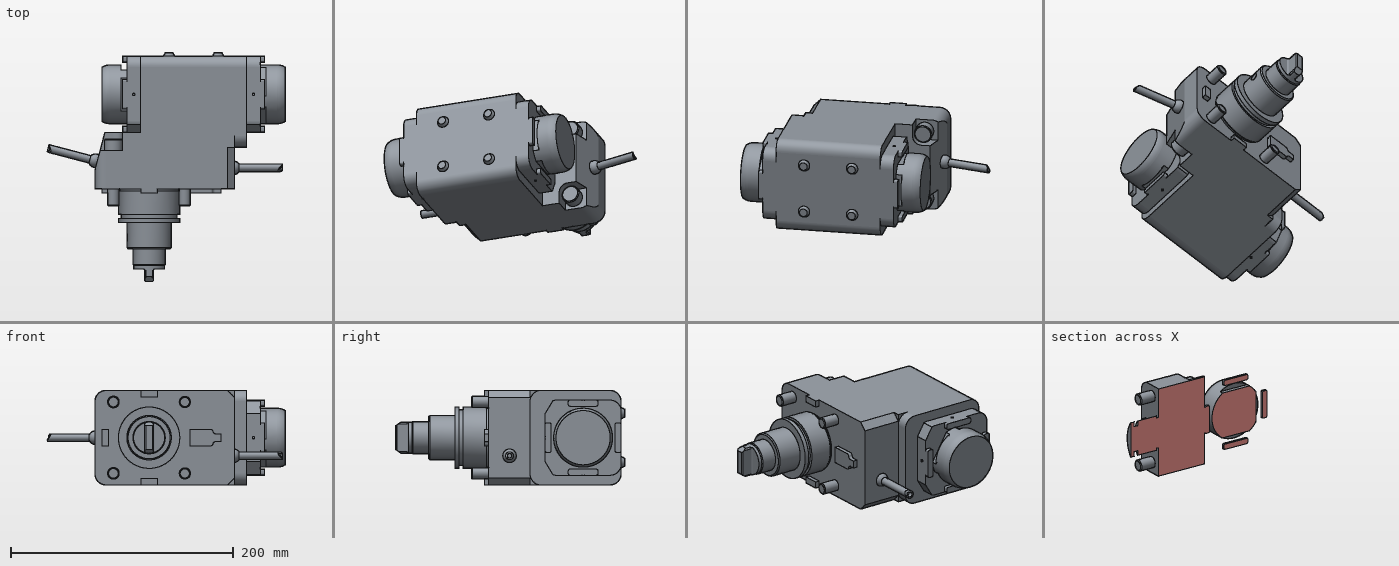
import cadquery as cq
import math


HALF_HEIGHT = 42.5
CORNER_RADIUS = 10.0
BASE_LEFT = -48.7
BASE_RIGHT = 76.6
BASE_CHAMFER = 6.5
BASE_BACK = 50.5
SLANT_START_Y = 16.6
SLANT_ANGLE = 14.7
BLOCK_LEFT = -7.7
BLOCK_RIGHT = 87.5
BLOCK_FRONT = 37.1
BLOCK_BACK = 118.9
BLOCK_MIDDLE = (BLOCK_LEFT + BLOCK_RIGHT) / 2

BOLT_OFFSET = 32.0
PIN_DIAMETER = 10.5
SMALL_PIN_DIAMETER = 10.0
PIN_LENGTH = 15.4
PIN_CHAMFER = 0.9
POCKET_FLOOR_Y = 34.5
POCKET_RADIUS = 8.3
HEAD_DIAMETER = 16.0
HEAD_HEIGHT = 10.2
HEAD_CHAMFER = 0.9

DRUM_AXIS_Y = (BASE_BACK + BLOCK_BACK) / 2
PLATE_THICKNESS = 12.2
PLATE_HALF_HEIGHT = 33.7
PLATE_BEVEL_Y = 7.0
PLATE_BEVEL_Z = 12.2
PLATE_ROUND_Y = 3.2
PLATE_ROUND_DROP = 0.6
PAD_HEIGHT = 3.8
PAD_LENGTH = 26.7
PAD_WIDTH = 5.5
PAD_CORNER_RADIUS = 1.7
MARK_HOLE_DIAMETER = 2.1
MARK_HOLE_DEPTH = 1.0
DRUM_DIAMETER = 53.0
DRUM_LENGTH = 22.5
DRUM_CROWN_LENGTH = 7.0
DRUM_CROWN_DROP = 2.1
FLAT_LENGTH = 5.3
FLAT_DISTANCE = 22.0
FLAT_ANGLES = (0, 180, 270)
RIGHT_DRUM_TURN = 149

HUB_DIAMETER = 53.0
COLLAR_DIAMETER = 55.0
GROOVE_DIAMETER = 50.2
BODY_DIAMETER = 40.0
NOSE_DIAMETER = 29.0
TIP_DIAMETER = 28.0
HUB_END = -2.0
COLLAR_END = -22.8
GROOVE_END = -26.5
RING_END = -30.3
BODY_END = -53.8
NOSE_END = -67.7
TIP_START = -68.7
TIP_END = -72.0
TANG_END = -83.2
BODY_CHAMFER = 1.0
TANG_WIDTH = 8.0
TANG_FILLET = 1.3
TANG_EDGE_CHAMFER = 1.0
TANG_SHOULDER_LENGTH = 4.7
TANG_SHOULDER_DROP = 3.2
SPINDLE_HOLE_DIAMETER = 7.0
SPINDLE_HOLE_Y = -43.8
SPINDLE_HOLE_DEPTH = 0.5

KEY_HEIGHT = 3.8
KEY_LENGTH = 15.0
KEY_WIDTH = 6.0
LEFT_KEY_X = -39.3
TONGUE_LEFT = 36.7
TONGUE_NECK_START = 54.9
TONGUE_NECK_END = 59.8
TONGUE_RIGHT = 64.5
TONGUE_NECK_HALF_WIDTH = 3.5

SCREW_BASE_DIAMETER = 10.5
SCREW_TOP_DIAMETER = 7.0
SCREW_HEIGHT = 3.2
SCREW_HALF_PITCH = 22.0
SCREW_Z = 22.0

CABLE_DIAMETER = 7.0
CABLE_BORE = 4.0
CABLE_BORE_DEPTH = 4.3
GLAND_DIAMETER = 12.4
LEFT_GLAND_OFFSET = -1.7
RIGHT_GLAND_OFFSET = -1.0
LEFT_CABLE_Y = 25.2
LEFT_CABLE_LENGTH = 44.0
LEFT_CABLE_BEVEL = (0, -0.5, 0.6)
RIGHT_CABLE_Y = 18.8
RIGHT_CABLE_Z = -16.2
RIGHT_CABLE_LENGTH = 44.0
RIGHT_CABLE_BEVEL = (0, -0.8, 0.8)


def box(x_range, y_range, z_range):
    """Box between two limits along each axis."""
    (x0, x1), (y0, y1), (z0, z1) = x_range, y_range, z_range
    return cq.Workplane("XY").box(x1 - x0, y1 - y0, z1 - z0, centered=False).translate((x0, y0, z0))


def rod(diameter, start, direction, length):
    """Cylinder from a start point along a direction."""
    cylinder = cq.Solid.makeCylinder(diameter / 2, length, cq.Vector(*start), cq.Vector(*direction))
    return cq.Workplane(cylinder)


def housing():
    """Base with a slanted left side, joined to the rear block."""
    height = (-HALF_HEIGHT, HALF_HEIGHT)
    slant_run = (BASE_BACK - SLANT_START_Y) * math.tan(math.radians(SLANT_ANGLE))
    base = box((BASE_LEFT, BASE_RIGHT), (0, BLOCK_FRONT), height)
    base = base.edges("|Y and >X").chamfer(BASE_CHAMFER)
    base = base.union(box((BASE_LEFT, BASE_RIGHT), (BLOCK_FRONT, BASE_BACK), height))
    base = base.edges("|Y and <X").fillet(CORNER_RADIUS)
    slant = cq.Workplane("XY").polyline([
        (BASE_LEFT, SLANT_START_Y),
        (BASE_LEFT + slant_run, BASE_BACK),
        (BASE_LEFT, BASE_BACK),
    ]).close().extrude(HALF_HEIGHT, both=True)
    block = box((BLOCK_LEFT, BLOCK_RIGHT), (BLOCK_FRONT, BLOCK_BACK), height)
    block = block.edges("|X").fillet(CORNER_RADIUS)
    return base.cut(slant).union(block)


def corner_pocket(side):
    """Pocket around a bolt head at the upper (+1) or lower (-1) left corner."""
    depth = (POCKET_FLOOR_Y, BASE_BACK)
    inner_x = -BOLT_OFFSET + POCKET_RADIUS
    outside = box((BASE_LEFT, -BOLT_OFFSET), depth, (BOLT_OFFSET - POCKET_RADIUS, HALF_HEIGHT))
    above = box((BASE_LEFT, inner_x), depth, (BOLT_OFFSET, HALF_HEIGHT))
    round_corner = rod(2 * POCKET_RADIUS, (-BOLT_OFFSET, POCKET_FLOOR_Y, BOLT_OFFSET), (0, 1, 0),
                       BASE_BACK - POCKET_FLOOR_Y)
    pocket = outside.union(above).union(round_corner)
    return pocket if side > 0 else pocket.mirror("XY")


def bolt_head(side):
    head = rod(HEAD_DIAMETER, (-BOLT_OFFSET, POCKET_FLOOR_Y, side * BOLT_OFFSET), (0, 1, 0), HEAD_HEIGHT)
    return head.faces(">Y").chamfer(HEAD_CHAMFER)


def front_pin(x, z, diameter):
    return rod(diameter, (x, 0, z), (0, -1, 0), PIN_LENGTH).faces("<Y").chamfer(PIN_CHAMFER)


def drum_unit(turn):
    """Side plate, pads and drum on the +X side; the drum is turned by an angle about its axis."""
    plate_face = BLOCK_RIGHT + PLATE_THICKNESS
    plate_height = (-PLATE_HALF_HEIGHT, PLATE_HALF_HEIGHT)
    plate = box((BLOCK_RIGHT, plate_face), (BASE_BACK, BLOCK_BACK), plate_height)
    plate = plate.edges("|X and >Y").fillet(CORNER_RADIUS)
    bevel_y = BASE_BACK + PLATE_BEVEL_Y
    round_radius = (PLATE_ROUND_Y**2 + PLATE_ROUND_DROP**2) / (2 * PLATE_ROUND_DROP)
    bevel = (
        cq.Workplane("YZ", origin=(BLOCK_RIGHT, 0, 0))
        .moveTo(BASE_BACK, PLATE_HALF_HEIGHT - PLATE_BEVEL_Z)
        .lineTo(bevel_y, PLATE_HALF_HEIGHT - PLATE_ROUND_DROP)
        .radiusArc((bevel_y + PLATE_ROUND_Y, PLATE_HALF_HEIGHT), round_radius)
        .lineTo(BASE_BACK, PLATE_HALF_HEIGHT)
        .close()
        .extrude(PLATE_THICKNESS)
    )
    plate = plate.cut(bevel).cut(bevel.mirror("XY"))

    level_offset = PLATE_HALF_HEIGHT - PAD_WIDTH / 2
    upright_offset = BLOCK_BACK - DRUM_AXIS_Y - PAD_WIDTH / 2
    face = cq.Workplane("YZ", origin=(plate_face, DRUM_AXIS_Y, 0))
    level_pads = face.pushPoints([(0, level_offset), (0, -level_offset)]).rect(PAD_LENGTH, PAD_WIDTH)
    level_pads = level_pads.extrude(PAD_HEIGHT)
    upright_pads = face.pushPoints([(upright_offset, 0), (-upright_offset, 0)])
    upright_pads = upright_pads.rect(PAD_WIDTH, PAD_LENGTH)
    upright_pads = upright_pads.extrude(PAD_HEIGHT)
    pads = level_pads.union(upright_pads).edges("|X").fillet(PAD_CORNER_RADIUS)

    radius = DRUM_DIAMETER / 2
    crown_start = DRUM_LENGTH - DRUM_CROWN_LENGTH
    drum = (
        cq.Workplane("XY")
        .lineTo(0, radius)
        .lineTo(crown_start, radius)
        .tangentArcPoint((DRUM_LENGTH, radius - DRUM_CROWN_DROP), relative=False)
        .lineTo(DRUM_LENGTH, 0)
        .close()
        .revolve(360, (0, 0, 0), (1, 0, 0))
    )
    for angle in FLAT_ANGLES:
        flat = box((0, FLAT_LENGTH), (-radius, radius), (FLAT_DISTANCE, radius))
        drum = drum.cut(flat.rotate((0, 0, 0), (1, 0, 0), angle + turn))
    drum = drum.translate((plate_face, DRUM_AXIS_Y, 0))

    mark_x = BLOCK_RIGHT + PLATE_THICKNESS / 2
    unit = plate.union(pads).union(drum)
    for side in (1, -1):
        unit = unit.cut(rod(MARK_HOLE_DIAMETER, (mark_x, DRUM_AXIS_Y, side * PLATE_HALF_HEIGHT),
                            (0, 0, -side), MARK_HOLE_DEPTH))
    return unit.cut(rod(MARK_HOLE_DIAMETER, (mark_x, BASE_BACK, 0), (0, 1, 0), MARK_HOLE_DEPTH))


def tang():
    """Flat driving tang with sloped shoulders and a filleted foot."""
    reach = TIP_DIAMETER / 2
    shoulder_y = TANG_END + TANG_SHOULDER_LENGTH
    half_tip = reach - TANG_SHOULDER_DROP
    blade = cq.Workplane("YZ").polyline([
        (TIP_START, -reach),
        (shoulder_y, -reach),
        (TANG_END, -half_tip),
        (TANG_END, half_tip),
        (shoulder_y, reach),
        (TIP_START, reach),
    ]).close().extrude(TANG_WIDTH / 2, both=True)
    envelope = rod(TIP_DIAMETER, (0, TIP_START, 0), (0, -1, 0), TIP_START - TANG_END)
    blade = blade.faces("<Y").edges("|Z").chamfer(TANG_EDGE_CHAMFER)
    blade = blade.intersect(envelope).edges("|Y").chamfer(TANG_EDGE_CHAMFER)
    half = TANG_WIDTH / 2
    foot = (
        cq.Workplane("XY")
        .moveTo(-half - TANG_FILLET, TIP_END)
        .radiusArc((-half, TIP_END - TANG_FILLET), TANG_FILLET)
        .lineTo(half, TIP_END - TANG_FILLET)
        .radiusArc((half + TANG_FILLET, TIP_END), TANG_FILLET)
        .close()
        .extrude(reach, both=True)
    )
    return blade.union(foot.intersect(envelope))


def spindle():
    profile = [
        (0, 0),
        (HUB_DIAMETER / 2, 0),
        (HUB_DIAMETER / 2, HUB_END),
        (COLLAR_DIAMETER / 2, HUB_END),
        (COLLAR_DIAMETER / 2, COLLAR_END),
        (GROOVE_DIAMETER / 2, COLLAR_END),
        (GROOVE_DIAMETER / 2, GROOVE_END),
        (COLLAR_DIAMETER / 2, GROOVE_END),
        (COLLAR_DIAMETER / 2, RING_END),
        (BODY_DIAMETER / 2, RING_END),
        (BODY_DIAMETER / 2, BODY_END + BODY_CHAMFER),
        (BODY_DIAMETER / 2 - BODY_CHAMFER, BODY_END),
        (NOSE_DIAMETER / 2, BODY_END),
        (NOSE_DIAMETER / 2, NOSE_END),
        (TIP_DIAMETER / 2, TIP_START),
        (TIP_DIAMETER / 2, TIP_END),
        (0, TIP_END),
    ]
    turned = cq.Workplane("XY").polyline(profile).close().revolve(360, (0, 0, 0), (0, 1, 0))
    hole_start = (-BODY_DIAMETER / 2, SPINDLE_HOLE_Y, 0)
    side_hole = rod(SPINDLE_HOLE_DIAMETER, hole_start, (1, 0, 0), SPINDLE_HOLE_DEPTH)
    return turned.cut(side_hole).union(tang())


def front_keys():
    edge_z = HALF_HEIGHT - KEY_WIDTH / 2
    mount = cq.Workplane("XZ")
    keys = mount.pushPoints([(0, edge_z), (0, -edge_z)]).rect(KEY_LENGTH, KEY_WIDTH).extrude(KEY_HEIGHT)
    keys = keys.union(mount.center(LEFT_KEY_X, 0).rect(KEY_WIDTH, KEY_LENGTH).extrude(KEY_HEIGHT))
    wide = KEY_LENGTH / 2
    narrow = TONGUE_NECK_HALF_WIDTH
    neck_middle = ((TONGUE_NECK_START + TONGUE_NECK_END) / 2, (wide + narrow) / 2)
    tongue = (
        mount.moveTo(TONGUE_LEFT, -wide)
        .lineTo(TONGUE_NECK_START, -wide)
        .tangentArcPoint((neck_middle[0], -neck_middle[1]), relative=False)
        .tangentArcPoint((TONGUE_NECK_END, -narrow), relative=False)
        .lineTo(TONGUE_RIGHT, -narrow)
        .lineTo(TONGUE_RIGHT, narrow)
        .lineTo(TONGUE_NECK_END, narrow)
        .tangentArcPoint(neck_middle, relative=False)
        .tangentArcPoint((TONGUE_NECK_START, wide), relative=False)
        .lineTo(TONGUE_LEFT, wide)
        .close()
        .extrude(KEY_HEIGHT)
    )
    return keys.union(tongue)


def rear_screw(x, z):
    cone = cq.Solid.makeCone(SCREW_BASE_DIAMETER / 2, SCREW_TOP_DIAMETER / 2, SCREW_HEIGHT,
                             cq.Vector(x, BLOCK_BACK, z), cq.Vector(0, 1, 0))
    return cq.Workplane(cone)


def cable(root, direction, length, bevel_tilt):
    """Ball gland and bored cable; a plane tilted from the square end bevels half of the tip."""
    axis = cq.Vector(*direction)
    start = cq.Vector(*root)
    end = start + axis * length
    cord = rod(CABLE_DIAMETER, start.toTuple(), direction, length)
    bore_start = end - axis * CABLE_BORE_DEPTH
    bore = rod(CABLE_BORE, bore_start.toTuple(), direction, CABLE_BORE_DEPTH)
    bevel_plane = cq.Plane(origin=end.toTuple(), normal=(axis + cq.Vector(*bevel_tilt)).toTuple())
    waste_size = 4 * CABLE_DIAMETER
    waste = cq.Workplane(bevel_plane).rect(waste_size, waste_size).extrude(waste_size)
    gland = cq.Solid.makeSphere(GLAND_DIAMETER / 2, start, axis, -90, 90, 360)
    return cord.cut(bore).cut(waste).union(cq.Workplane(gland))


part = housing()
for side in (1, -1):
    part = part.cut(corner_pocket(side)).union(bolt_head(side))
    part = part.union(front_pin(-BOLT_OFFSET, side * BOLT_OFFSET, PIN_DIAMETER))
    part = part.union(front_pin(BOLT_OFFSET, side * BOLT_OFFSET, SMALL_PIN_DIAMETER))
    for offset in (-SCREW_HALF_PITCH, SCREW_HALF_PITCH):
        part = part.union(rear_screw(BLOCK_MIDDLE + offset, side * SCREW_Z))

right_unit = drum_unit(RIGHT_DRUM_TURN)
left_unit = drum_unit(0).mirror("YZ", (BLOCK_MIDDLE, 0, 0))
part = part.union(right_unit).union(left_unit)

slant = math.radians(SLANT_ANGLE)
left_root_x = BASE_LEFT + (LEFT_CABLE_Y - SLANT_START_Y) * math.tan(slant) + LEFT_GLAND_OFFSET
left_cable = cable((left_root_x, LEFT_CABLE_Y, 0), (-math.cos(slant), math.sin(slant), 0),
                   LEFT_CABLE_LENGTH, LEFT_CABLE_BEVEL)
right_cable = cable((BASE_RIGHT + RIGHT_GLAND_OFFSET, RIGHT_CABLE_Y, RIGHT_CABLE_Z), (1, 0, 0),
                    RIGHT_CABLE_LENGTH, RIGHT_CABLE_BEVEL)

result = part.union(spindle()).union(front_keys()).union(left_cable).union(right_cable)